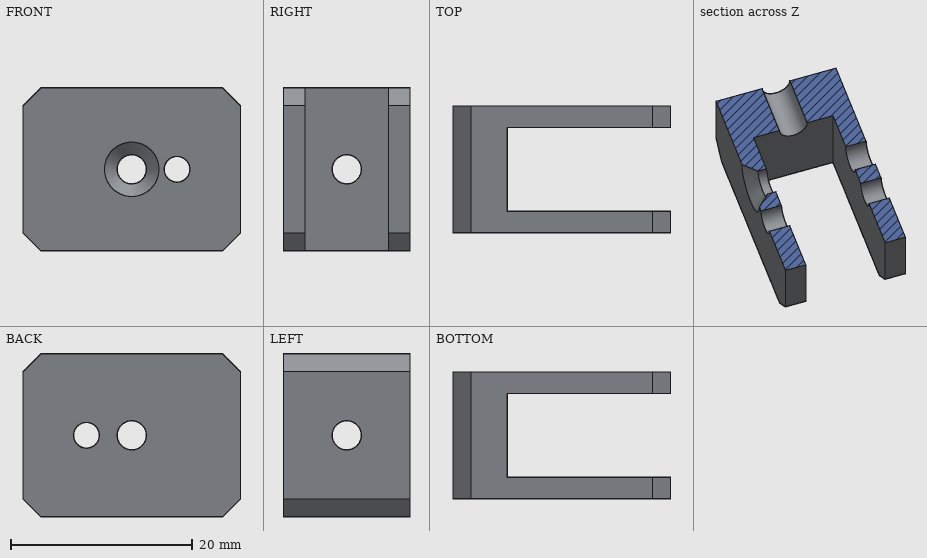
import cadquery as cq

length = 24.0
width = 14.0
height = 18.0
corner_chamfer = 2.0

base_thickness = 6.0
cheek_thickness = 2.4
slot_length = length - base_thickness
slot_width = width - 2 * cheek_thickness

bolt_diameter = 3.2
sink_diameter = 6.0
sink_angle = 90.0
pin_diameter = 2.8
pin_offset = 5.0


def make_body():
    """Block with its four Y-direction edges chamfered."""
    return cq.Workplane("XY").box(length, width, height).edges("|Y").chamfer(corner_chamfer)


def cut_slot(body):
    """Open the block from the +X end, leaving two cheeks joined by a base."""
    slot = cq.Workplane("XY").box(slot_length, slot_width, height)
    slot_center = (length - slot_length) / 2
    return body.cut(slot.translate((slot_center, 0, 0)))


def cut_cheek_holes(body):
    """Bolt hole countersunk on the -Y cheek, and a pin hole beside it, through both cheeks."""
    front = cq.Workplane("XZ", origin=(0, -width / 2, 0))
    pin = front.center(pin_offset, 0).circle(pin_diameter / 2).extrude(-width)
    front_face = body.faces("<Y").workplane(origin=(0, -width / 2, 0))
    return front_face.cskHole(bolt_diameter, sink_diameter, sink_angle).cut(pin)


def cut_base_hole(body):
    """Hole along X through the base into the slot."""
    hole = cq.Workplane("YZ", origin=(-length / 2, 0, 0)).circle(bolt_diameter / 2).extrude(length)
    return body.cut(hole)


result = cut_base_hole(cut_cheek_holes(cut_slot(make_body())))